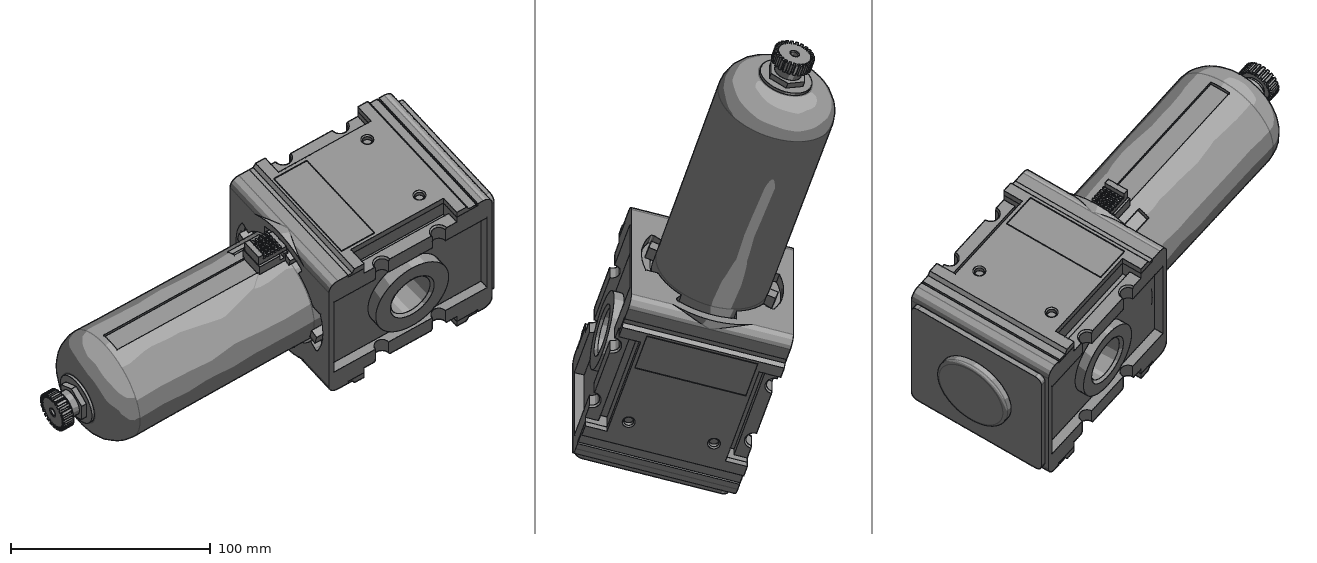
import cadquery as cq
import math


HOUSING_X = 85.0
HOUSING_Y = 100.6
HOUSING_Z = 84.5
HOUSING_CORNER = 5.5
COLLAR_RADIUS = HOUSING_Z / 2
MID_Y = HOUSING_Y / 2
SIDE_X = HOUSING_X / 2

CAP_X = 80.5
CAP_Z = 74.0
CAP_THICKNESS = 3.0
CAP_CORNER = 4.0
BUTTON_DIAMETER = 43.0
BUTTON_HEIGHT = 4.7
BUTTON_EDGE = 1.7

RECESS_Y = 94.7
RECESS_Z = 54.7
RECESS_DEPTH = 5.2
PORT_BORE = 24.0
PORT_MOUTH = 27.0
PORT_DEPTH = 17.5
LEFT_BOSS_DIAMETER = 41.0
RIGHT_BOSS_DIAMETER = 45.0
RIGHT_BOSS_PROUD = 1.5

POCKET_X = 11.5
POCKET_Y = 57.2
POCKET_DEPTH = 7.5
LEDGE_X = 7.0
GROOVE_DEPTH = 5.0
NOTCH_DIAMETER = 8.0
NOTCH_MOUTH = 9.5
NOTCH_MOUTH_DEPTH = 1.2
NOTCH_PITCH = 35.0

PLATE_TOP = 44.5
PLATE_SEAT = 40.8
SEAT_FRONT = 12.0
SEAT_BACK = 92.0
SEAT_GAP = 1.0
PAD_Y = 72.0
PAD_SLOPE = 1.5
SCREW_HOLE = 5.0
SCREW_MOUTH = 6.5
SCREW_MOUTH_DEPTH = 0.7
SCREW_HOLE_DEPTH = 3.0
SCREW_X = 22.4
SCREW_Y = 70.3
LABEL_X = 58.1
LABEL_FRONT = 17.5
LABEL_BACK = 37.8
LABEL_DEPTH = 0.5

SOCKET_RADIUS = 31.3
SOCKET_DEPTH = 7.5
WINDOW_RADIUS = 37.3
WINDOW_DEPTH = 5.0
WINDOW_SIDE = 12.7
WINDOW_END_ANGLE = -31.5
WINDOW_CORNER = 1.5
WINDOW_COUNT = 4

BOWL_NECK_RADIUS = 29.8
BOWL_END_RADIUS = 30.3
DOME_START = -107.8
DOME_RADIUS = 16.2
DOME_END = DOME_START - DOME_RADIUS
LUG_RADIUS = 34.3
LUG_WIDTH = 6.2
LUG_PROUD = 1.5
LUG_ANGLES = (-14.0, 76.0, 104.0, 166.0)
STRIP_X = 11.7
STRIP_FLOOR = 28.0
STRIP_END = -104.4
SLOT_WIDTH = 6.7
SLOT_FLOOR = 27.3
SLOT_END = -19.6
SLOT_ANGLE = 29.0

LATCH_BASE_X = 14.5
LATCH_BASE_TOP = 34.8
LATCH_ROOT = 2.5
LATCH_END = -17.5
LATCH_TOP_X = 12.0
LATCH_TOP = 37.8
LATCH_LIP_TOP = 41.0
LATCH_LIP_THICKNESS = 3.0
LATCH_RIB_COUNT = 5
LATCH_RIB_PITCH = 2.2
LATCH_RIB_FRONT = -3.0
LATCH_RIB_HEIGHT = 1.5
LATCH_SETBACK = 0.2
LATCH_FLUTE_COUNT = 4
LATCH_FLUTE_WIDTH = 1.0
CATCH_FRONT = -2.2
CATCH_LENGTH = 2.5
CATCH_HEIGHT = 3.2

FLANGE_DIAMETER = 27.0
FLANGE_END = -125.5
NUT_ACROSS_FLATS = 17.6
NUT_END = -128.5
STEM_DIAMETER = 14.0
STEM_END = -132.5
NECK_DIAMETER = 11.5
KNOB_START = -134.2
KNOB_END = -140.2
KNOB_DIAMETER = 20.9
KNOB_ROOT_DIAMETER = 17.0
KNOB_GROOVES = 24
KNOB_GROOVE_WIDTH = 1.2
DRAIN_MOUTH = 5.0
DRAIN_BORE = 4.0
DRAIN_MOUTH_DEPTH = 0.5
DRAIN_DEPTH = 5.0


def block(x0, x1, y0, y1, z0, z1):
    """Axis-aligned box between two corners."""
    return cq.Workplane("XY").box(x1 - x0, y1 - y0, z1 - z0, centered=False).translate((x0, y0, z0))


def cylinder_y(radius, y0, y1):
    """Cylinder around the Y axis."""
    return cq.Workplane("XZ", origin=(0, y1, 0)).circle(radius).extrude(y1 - y0)


def cone_cut(mouth, bore, mouth_depth, depth):
    """Round hole with a conical mouth, pointing down from the origin."""
    profile = [
        (0, 0),
        (mouth / 2, 0),
        (bore / 2, -mouth_depth),
        (bore / 2, -depth),
        (0, -depth),
    ]
    return cq.Workplane("XZ").polyline(profile).close().revolve(360, (0, 0, 0), (0, 1, 0))


def both_sides(shape):
    """The shape together with its mirror image across X = 0."""
    return shape.union(shape.mirror("YZ"))


def clamp_pockets():
    """Two pockets along the upper side edges, each with a deeper groove at its inner wall."""
    y0 = MID_Y - POCKET_Y / 2
    y1 = MID_Y + POCKET_Y / 2
    floor = PLATE_TOP - POCKET_DEPTH
    inner = SIDE_X - POCKET_X
    pocket = block(inner, SIDE_X, y0, y1, floor, PLATE_TOP)
    groove = block(inner, SIDE_X - LEDGE_X, y0, y1, floor - GROOVE_DEPTH, floor)
    return both_sides(pocket.union(groove))


def clamp_notches():
    """Half-round notches from the pocket ledges down into the side recesses."""
    floor = PLATE_TOP - POCKET_DEPTH
    notch = cone_cut(NOTCH_MOUTH, NOTCH_DIAMETER, NOTCH_MOUTH_DEPTH, floor - RECESS_Z / 2)
    notches = cq.Workplane("XY")
    for y in (MID_Y - NOTCH_PITCH / 2, MID_Y + NOTCH_PITCH / 2):
        notches = notches.union(notch.translate((SIDE_X, y, floor)))
    return both_sides(notches)


def bayonet_windows():
    """Four windows around the socket, each with a straight side and a radial end with a round corner."""
    start = math.radians(WINDOW_END_ANGLE)
    end = math.asin(WINDOW_SIDE / WINDOW_RADIUS)
    middle = (start + end) / 2
    inner_start = (SOCKET_RADIUS * math.cos(start), SOCKET_RADIUS * math.sin(start))
    outer_start = (WINDOW_RADIUS * math.cos(start), WINDOW_RADIUS * math.sin(start))
    outer_middle = (WINDOW_RADIUS * math.cos(middle), WINDOW_RADIUS * math.sin(middle))
    outer_end = (WINDOW_RADIUS * math.cos(end), WINDOW_SIDE)
    window = (
        cq.Workplane("XZ", origin=(0, WINDOW_DEPTH, 0))
        .moveTo(0, 0)
        .lineTo(*inner_start)
        .lineTo(*outer_start)
        .threePointArc(outer_middle, outer_end)
        .lineTo(0, WINDOW_SIDE)
        .close()
        .extrude(WINDOW_DEPTH)
    )
    corner = (outer_start[0], WINDOW_DEPTH / 2, outer_start[1])
    window = window.edges(cq.selectors.NearestToPointSelector(corner)).fillet(WINDOW_CORNER)
    windows = cq.Workplane("XY")
    for i in range(WINDOW_COUNT):
        windows = windows.union(window.rotate((0, 0, 0), (0, 1, 0), i * 360 / WINDOW_COUNT))
    return windows


def port(side, boss_diameter, proud):
    """Port boss on one side (-1 or +1) and the bore that goes into it."""
    floor = SIDE_X - RECESS_DEPTH
    face = SIDE_X + proud
    boss = (
        cq.Workplane("YZ", origin=(floor, MID_Y, 0)).circle(boss_diameter / 2).extrude(face - floor)
    )
    bore = (
        cone_cut(PORT_MOUTH, PORT_BORE, (PORT_MOUTH - PORT_BORE) / 2, PORT_DEPTH)
        .rotate((0, 0, 0), (0, 1, 0), 90)
        .translate((face, MID_Y, 0))
    )
    if side < 0:
        return boss.mirror("YZ"), bore.mirror("YZ")
    return boss, bore


def make_housing():
    body = block(-SIDE_X, SIDE_X, 0, HOUSING_Y, -HOUSING_Z / 2, HOUSING_Z / 2)
    body = body.edges("|X").fillet(HOUSING_CORNER)
    body = body.union(cylinder_y(COLLAR_RADIUS, 0, HOUSING_CORNER))

    cap_back = HOUSING_Y + CAP_THICKNESS
    cap = block(-CAP_X / 2, CAP_X / 2, HOUSING_Y, cap_back, -CAP_Z / 2, CAP_Z / 2)
    cap = cap.edges("|Y").fillet(CAP_CORNER)
    button = cylinder_y(BUTTON_DIAMETER / 2, cap_back, cap_back + BUTTON_HEIGHT)
    button = button.faces(">Y").edges().fillet(BUTTON_EDGE)
    body = body.union(cap).union(button)

    recess = block(
        SIDE_X - RECESS_DEPTH, SIDE_X,
        MID_Y - RECESS_Y / 2, MID_Y + RECESS_Y / 2,
        -RECESS_Z / 2, RECESS_Z / 2,
    )
    body = body.cut(both_sides(recess))

    seat = block(-SIDE_X, SIDE_X, SEAT_FRONT, SEAT_BACK, PLATE_SEAT, HOUSING_Z / 2)
    for cutter in (seat, clamp_pockets(), clamp_notches()):
        body = body.cut(cutter).cut(cutter.mirror("XY"))

    for side, diameter, proud in (
        (-1, LEFT_BOSS_DIAMETER, 0.0),
        (1, RIGHT_BOSS_DIAMETER, RIGHT_BOSS_PROUD),
    ):
        boss, bore = port(side, diameter, proud)
        body = body.union(boss).cut(bore)

    body = body.cut(cylinder_y(SOCKET_RADIUS, 0, SOCKET_DEPTH))
    return body.cut(bayonet_windows())


def make_cover_plate():
    """Upper cover plate: a low plate in its seat, with a raised pad that has sloping ends."""
    shoulder = HOUSING_Z / 2
    plate = block(-SIDE_X, SIDE_X, SEAT_FRONT, SEAT_BACK - SEAT_GAP, PLATE_SEAT, shoulder)
    pad_front = MID_Y - PAD_Y / 2
    pad_back = MID_Y + PAD_Y / 2
    pad_outline = [
        (pad_front, PLATE_SEAT),
        (pad_front, shoulder),
        (pad_front + PAD_SLOPE, PLATE_TOP),
        (pad_back - PAD_SLOPE, PLATE_TOP),
        (pad_back, shoulder),
        (pad_back, PLATE_SEAT),
    ]
    pad = cq.Workplane("YZ", origin=(-SIDE_X, 0, 0)).polyline(pad_outline).close().extrude(HOUSING_X)
    plate = plate.union(pad).cut(clamp_pockets())
    for x in (-SCREW_X, SCREW_X):
        hole = cone_cut(SCREW_MOUTH, SCREW_HOLE, SCREW_MOUTH_DEPTH, SCREW_HOLE_DEPTH)
        plate = plate.cut(hole.translate((x, SCREW_Y, PLATE_TOP)))
    label = block(
        -LABEL_X / 2, LABEL_X / 2,
        LABEL_FRONT, LABEL_BACK,
        PLATE_TOP - LABEL_DEPTH, PLATE_TOP,
    )
    return plate.cut(label)


def latch():
    """Latch block with a studded thumb rest, standing on the neck of the bowl."""
    base_half = LATCH_BASE_X / 2
    top_half = LATCH_TOP_X / 2
    top_end = LATCH_END + LATCH_SETBACK
    base = block(-base_half, base_half, LATCH_END, 0, STRIP_FLOOR - LATCH_ROOT, LATCH_BASE_TOP)
    catch = block(
        -base_half, base_half,
        CATCH_FRONT - CATCH_LENGTH, CATCH_FRONT,
        LATCH_BASE_TOP - CATCH_HEIGHT, LATCH_BASE_TOP,
    )
    base = base.cut(catch)
    rest = block(-top_half, top_half, top_end, 0, LATCH_BASE_TOP, LATCH_TOP)
    lip = block(
        -top_half, top_half,
        top_end, top_end + LATCH_LIP_THICKNESS,
        LATCH_BASE_TOP, LATCH_LIP_TOP,
    )
    shape = base.union(rest).union(lip)
    for i in range(LATCH_RIB_COUNT):
        back = LATCH_RIB_FRONT - i * LATCH_RIB_PITCH
        rib = block(
            -top_half, top_half,
            back - LATCH_RIB_PITCH / 2, back,
            LATCH_TOP, LATCH_TOP + LATCH_RIB_HEIGHT,
        )
        shape = shape.union(rib)

    flute_pitch = LATCH_TOP_X / (LATCH_FLUTE_COUNT + 1)
    for i in range(LATCH_FLUTE_COUNT):
        x = (i + 1) * flute_pitch - top_half
        flute = block(
            x - LATCH_FLUTE_WIDTH / 2, x + LATCH_FLUTE_WIDTH / 2,
            top_end + LATCH_LIP_THICKNESS, 0,
            LATCH_TOP, LATCH_TOP + LATCH_RIB_HEIGHT,
        )
        shape = shape.cut(flute)
    return shape


def drain_screw():
    """Flange, nut, stem and knurled knob at the end of the bowl."""
    nut = (
        cq.Workplane("XZ", origin=(0, FLANGE_END, 0))
        .polygon(6, NUT_ACROSS_FLATS / math.cos(math.pi / 6))
        .extrude(FLANGE_END - NUT_END)
        .rotate((0, 0, 0), (0, 1, 0), 30)
    )
    knob = cylinder_y(KNOB_DIAMETER / 2, KNOB_END, KNOB_START)
    for i in range(KNOB_GROOVES):
        groove = block(
            -KNOB_GROOVE_WIDTH / 2, KNOB_GROOVE_WIDTH / 2,
            KNOB_END, KNOB_START,
            KNOB_ROOT_DIAMETER / 2, KNOB_DIAMETER / 2,
        )
        knob = knob.cut(groove.rotate((0, 0, 0), (0, 1, 0), i * 360 / KNOB_GROOVES))
    drain = (
        cone_cut(DRAIN_MOUTH, DRAIN_BORE, DRAIN_MOUTH_DEPTH, DRAIN_DEPTH)
        .rotate((0, 0, 0), (1, 0, 0), 90)
        .translate((0, KNOB_END, 0))
    )
    shape = cylinder_y(FLANGE_DIAMETER / 2, FLANGE_END, DOME_END)
    shape = shape.union(nut)
    shape = shape.union(cylinder_y(STEM_DIAMETER / 2, STEM_END, NUT_END))
    shape = shape.union(cylinder_y(NECK_DIAMETER / 2, KNOB_START, STEM_END))
    return shape.union(knob).cut(drain)


def make_bowl():
    diagonal = DOME_RADIUS * math.sqrt(0.5)
    dome_centre = BOWL_END_RADIUS - DOME_RADIUS
    bowl = (
        cq.Workplane("XY")
        .moveTo(0, SOCKET_DEPTH)
        .lineTo(BOWL_NECK_RADIUS, SOCKET_DEPTH)
        .lineTo(BOWL_NECK_RADIUS, 0)
        .lineTo(BOWL_END_RADIUS, DOME_START)
        .threePointArc((dome_centre + diagonal, DOME_START - diagonal), (dome_centre, DOME_END))
        .lineTo(0, DOME_END)
        .close()
        .revolve(360, (0, 0, 0), (0, 1, 0))
    )

    strip = block(-STRIP_X / 2, STRIP_X / 2, STRIP_END, 0, STRIP_FLOOR, BOWL_END_RADIUS)
    slot = block(-SLOT_WIDTH / 2, SLOT_WIDTH / 2, SLOT_END, 0, SLOT_FLOOR, BOWL_END_RADIUS)
    bowl = bowl.cut(strip).cut(slot.rotate((0, 0, 0), (0, 1, 0), -SLOT_ANGLE))

    lug = block(0, LUG_RADIUS, -LUG_PROUD, WINDOW_DEPTH, -LUG_WIDTH / 2, LUG_WIDTH / 2)
    for angle in LUG_ANGLES:
        bowl = bowl.union(lug.rotate((0, 0, 0), (0, 1, 0), -angle))

    return bowl.union(latch()).union(drain_screw())


housing = make_housing()
top_plate = make_cover_plate()
cover_plates = [top_plate, top_plate.mirror("XY")]
bowl = make_bowl()

result = cq.Compound.makeCompound(
    [housing.val(), *[plate.val() for plate in cover_plates], bowl.val()]
)